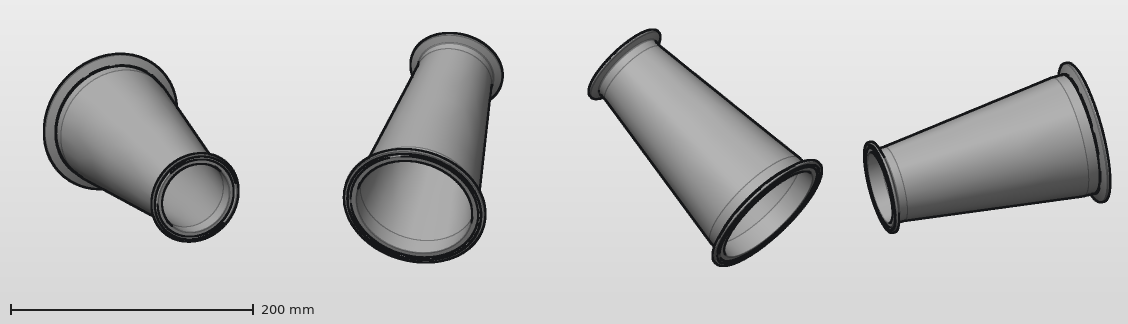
import cadquery as cq
import math

LENGTH = 181.0
LARGE_TUBE_DIA = 101.5
LARGE_BORE_DIA = 97.4
LARGE_FLANGE_DIA = 118.9
SMALL_TUBE_DIA = 63.5
SMALL_BORE_DIA = 60.3
SMALL_FLANGE_DIA = 77.5

LARGE_STRAIGHT = 16.1
SMALL_STRAIGHT = 12.7

RIM_WIDTH = 2.9
BACK_SLOPE = 20.0
RIM_ROUND = 0.7
NECK_ROUND = 0.7

BORE_MOUTH_ROUND = 0.4

SELECTION_MARGIN = 0.02

GROOVE_WIDTH = 2.5
GROOVE_DEPTH = 1.0
GROOVE_LIP_ROUND = 0.4
LARGE_GROOVE_DIA = 109.7
SMALL_GROOVE_DIA = 70.5


def revolve_about_x(profile):
    return profile.close().revolve(360, (0, 0, 0), (1, 0, 0))


def circles_at(x, max_radius):
    """Selector for the circular edges in one plane across the axis, up to a given radius."""
    reach = max_radius + SELECTION_MARGIN
    return cq.selectors.BoxSelector(
        (x - SELECTION_MARGIN, -reach, -reach),
        (x + SELECTION_MARGIN, reach, reach),
        boundingbox=True,
    )


def reducer(large_dia, small_dia):
    """Solid of two cylinders joined by a cone, over the full length."""
    large_radius = large_dia / 2
    small_radius = small_dia / 2
    return revolve_about_x(
        cq.Workplane("XY")
        .moveTo(0, 0)
        .lineTo(0, large_radius)
        .lineTo(LARGE_STRAIGHT, large_radius)
        .lineTo(LENGTH - SMALL_STRAIGHT, small_radius)
        .lineTo(LENGTH, small_radius)
        .lineTo(LENGTH, 0)
    )


def flange(flange_dia, tube_dia):
    """Solid clamp flange and neck with its end face at X = 0, extending towards +X."""
    rim_radius = flange_dia / 2
    tube_radius = tube_dia / 2
    back_end = RIM_WIDTH + (rim_radius - tube_radius) * math.tan(math.radians(BACK_SLOPE))
    neck_end = back_end + NECK_ROUND
    blank = revolve_about_x(
        cq.Workplane("XY")
        .moveTo(0, 0)
        .lineTo(0, rim_radius)
        .lineTo(RIM_WIDTH, rim_radius)
        .lineTo(back_end, tube_radius)
        .lineTo(neck_end, tube_radius)
        .lineTo(neck_end, 0)
    )

    necked = blank.edges(circles_at(back_end, tube_radius)).fillet(NECK_ROUND)
    return necked.edges(cq.selectors.RadiusNthSelector(-1)).fillet(RIM_ROUND)


def gasket_groove(groove_dia):
    """Ring cutter for the groove in an end face at X = 0."""
    radius = groove_dia / 2
    return revolve_about_x(
        cq.Workplane("XY")
        .moveTo(0, radius - GROOVE_WIDTH / 2)
        .threePointArc((GROOVE_DEPTH, radius), (0, radius + GROOVE_WIDTH / 2))
    )


def ferrule(flange_dia, tube_dia, groove_dia):
    grooved = flange(flange_dia, tube_dia).cut(gasket_groove(groove_dia))
    groove_lips = circles_at(0, (groove_dia + GROOVE_WIDTH) / 2)
    return grooved.edges(groove_lips).fillet(GROOVE_LIP_ROUND)


large_ferrule = ferrule(LARGE_FLANGE_DIA, LARGE_TUBE_DIA, LARGE_GROOVE_DIA)
small_ferrule = (
    ferrule(SMALL_FLANGE_DIA, SMALL_TUBE_DIA, SMALL_GROOVE_DIA)
    .mirror("YZ")
    .translate((LENGTH, 0, 0))
)

outside = reducer(LARGE_TUBE_DIA, SMALL_TUBE_DIA).union(large_ferrule).union(small_ferrule)
bore = reducer(LARGE_BORE_DIA, SMALL_BORE_DIA)

result = outside.cut(bore)
for end_x, bore_dia in ((0, LARGE_BORE_DIA), (LENGTH, SMALL_BORE_DIA)):
    result = result.edges(circles_at(end_x, bore_dia / 2)).fillet(BORE_MOUTH_ROUND)